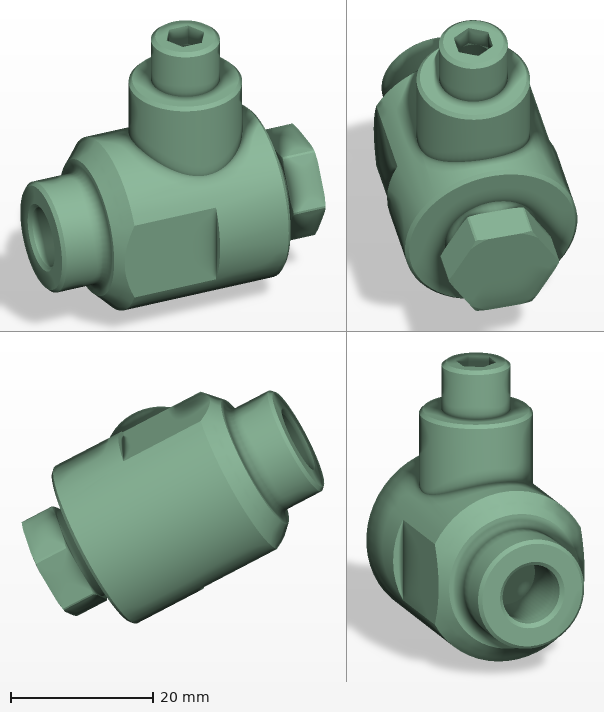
import cadquery as cq
import math


barrel_diameter = 25.0
barrel_rear_y = 10.98
edge_chamfer = 0.5
cone_length = 2.65
shoulder_y = -15.05
cone_start_y = shoulder_y + cone_length
flats_width = 22.0
flats_rear_y = 0.0

stub_diameter = 16.0
stub_front_y = -22.05
stub_fillet = 0.97
bore_diameter = 8.6
bore_mouth_diameter = 9.7
bore_chamfer_depth = 0.5
bore_depth = 10.12

neck_diameter = 13.7
hex_front_y = 13.0
hex_rear_y = 18.2
hex_across_flats = 14.0
hex_corner_diameter = stub_diameter
hex_bevel_width = 0.6
hex_bevel_height = 0.15

collar_diameter = 16.0
collar_top_z = 21.0

stem_diameter = 9.7
stem_top_diameter = 8.5
stem_bottom_z = collar_top_z
stem_top_z = 40.5 - barrel_diameter / 2
stem_chamfer_height = 0.5
socket_across_flats = 5.0
socket_depth = 3.0
relief_diameter = socket_across_flats
relief_depth = 2.02


def hexagon_points(across_flats, first_angle):
    """Corners of a regular hexagon; the first corner lies at first_angle degrees."""
    radius = across_flats / math.sqrt(3)
    angles = [math.radians(first_angle + 60 * i) for i in range(6)]
    return [(radius * math.cos(a), radius * math.sin(a)) for a in angles]


def revolve_about_y(points):
    """Solid of revolution from (radius, y) points."""
    return cq.Workplane("XY").polyline(points).close().revolve(360, (0, 0, 0), (0, 1, 0))


def make_barrel():
    """Barrel with a chamfered rear edge, a front cone and two wrench flats."""
    radius = barrel_diameter / 2
    barrel = revolve_about_y([
        (0, shoulder_y),
        (radius - cone_length, shoulder_y),
        (radius, cone_start_y),
        (radius, barrel_rear_y - edge_chamfer),
        (radius - edge_chamfer, barrel_rear_y),
        (0, barrel_rear_y),
    ])
    flat_length = flats_rear_y - shoulder_y
    cut_depth = (barrel_diameter - flats_width) / 2
    for side in (-1, 1):
        cutter = cq.Workplane("XY").box(cut_depth, flat_length, barrel_diameter)
        cutter_x = side * (flats_width + cut_depth) / 2
        barrel = barrel.cut(cutter.translate((cutter_x, flats_rear_y - flat_length / 2, 0)))
    return barrel


def make_stub():
    """Port stub with a chamfered front edge and a concave fillet at the shoulder."""
    radius = stub_diameter / 2
    fillet_end_y = shoulder_y - stub_fillet
    diagonal = stub_fillet * (1 - math.sqrt(0.5))
    return (
        cq.Workplane("XY")
        .moveTo(0, stub_front_y)
        .lineTo(radius - edge_chamfer, stub_front_y)
        .lineTo(radius, stub_front_y + edge_chamfer)
        .lineTo(radius, fillet_end_y)
        .threePointArc((radius + diagonal, shoulder_y - diagonal), (radius + stub_fillet, shoulder_y))
        .lineTo(0, shoulder_y)
        .close()
        .revolve(360, (0, 0, 0), (0, 1, 0))
    )


def make_bore():
    """Blind port bore with a chamfered mouth, as a cutter."""
    return revolve_about_y([
        (0, stub_front_y),
        (bore_mouth_diameter / 2, stub_front_y),
        (bore_diameter / 2, stub_front_y + bore_chamfer_depth),
        (bore_diameter / 2, stub_front_y + bore_depth),
        (0, stub_front_y + bore_depth),
    ])


def make_rear_hex():
    """Neck and hexagon whose corners are turned down and bevelled at both ends."""
    neck = revolve_about_y([
        (0, barrel_rear_y),
        (neck_diameter / 2, barrel_rear_y),
        (neck_diameter / 2, hex_front_y),
        (0, hex_front_y),
    ])
    hexagon = (
        cq.Workplane("XZ", origin=(0, hex_rear_y, 0))
        .polyline(hexagon_points(hex_across_flats, 0))
        .close()
        .extrude(hex_rear_y - hex_front_y)
    )
    corner_radius = hex_corner_diameter / 2
    turned_envelope = revolve_about_y([
        (0, hex_front_y),
        (corner_radius - hex_bevel_width, hex_front_y),
        (corner_radius, hex_front_y + hex_bevel_height),
        (corner_radius, hex_rear_y - hex_bevel_height),
        (corner_radius - hex_bevel_width, hex_rear_y),
        (0, hex_rear_y),
    ])
    return neck.union(hexagon.intersect(turned_envelope))


def make_housing():
    collar = cq.Workplane("XY").circle(collar_diameter / 2).extrude(collar_top_z)
    collar = collar.faces(">Z").chamfer(edge_chamfer)
    housing = make_barrel().union(collar)
    housing = housing.union(make_stub()).union(make_rear_hex())
    return housing.cut(make_bore())


def make_stem():
    """Round stem with a chamfered top and a hexagon socket ending in a round hole."""
    chamfer_width = (stem_diameter - stem_top_diameter) / 2
    stem = (
        cq.Workplane("XY", origin=(0, 0, stem_bottom_z))
        .circle(stem_diameter / 2)
        .extrude(stem_top_z - stem_bottom_z)
        .faces(">Z").edges()
        .chamfer(stem_chamfer_height, chamfer_width)
    )
    top_plane = cq.Workplane("XY", origin=(0, 0, stem_top_z))
    socket = top_plane.polyline(hexagon_points(socket_across_flats, 90)).close().extrude(-socket_depth)
    relief = top_plane.circle(relief_diameter / 2).extrude(-(socket_depth + relief_depth))
    return stem.cut(socket).cut(relief)


housing = make_housing()
stem = make_stem()
result = cq.Compound.makeCompound([*housing.solids().vals(), *stem.solids().vals()])